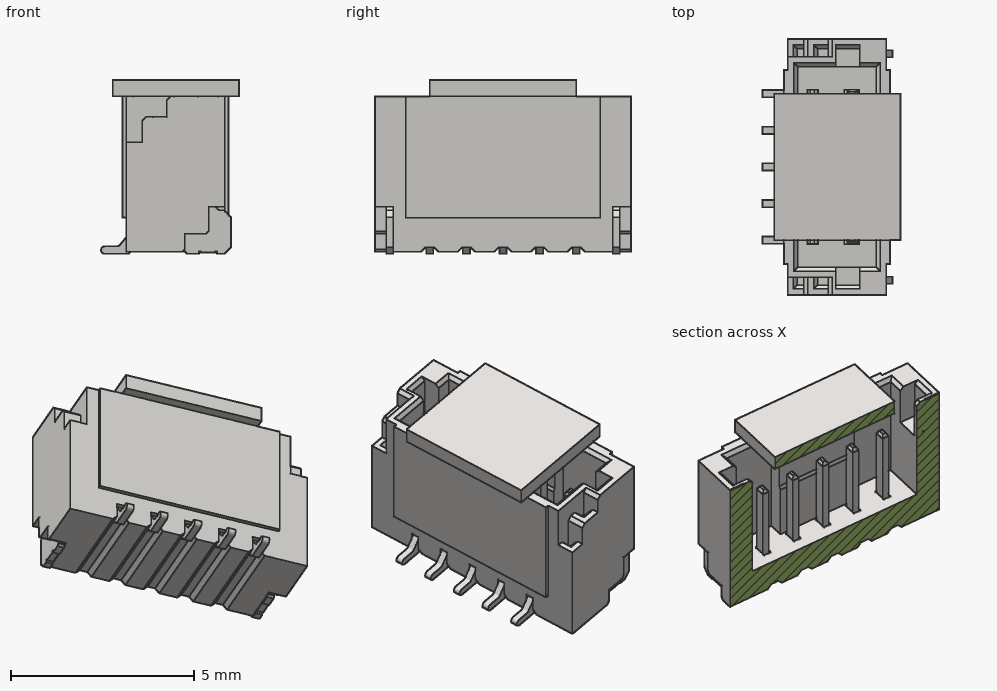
import cadquery as cq
import math


LENGTH = 7.0
WIDTH = 2.7
HEIGHT = 4.25
BEVEL = 0.105

PANEL_LENGTH = 5.305
PANEL_THICKNESS = 0.1
PANEL_BOTTOM = 0.94

CAVITY_LEFT = 0.27
CAVITY_RIGHT = 2.43
CAVITY_LENGTH = 5.49
CAVITY_FLOOR = PANEL_BOTTOM

KEY_DEPTH = 0.385
KEY_LENGTH = 2.505
KEY_LEDGE_TOP = 2.65
KEY_LEDGE_HEIGHT = 0.1
KEY_LEDGE_DEPTH = 0.05

NOTCH_LEFT = 1.315
NOTCH_RIGHT = 1.975
NOTCH_FLOOR = 2.995
POCKET_END = 3.23

STEP_WALL = 3.01
STEPS = [(0.44, 2.995), (1.11, 3.69)]
POCKET_LEFTS = [0.26, 0.82]
POCKET_DEPTH = 0.35

CAP_LEFT = -0.365
CAP_WIDTH = 3.45
CAP_LENGTH = 4.005
CAP_THICKNESS = 0.45

CONTACT_COUNT = 5
PITCH = 1.0
STANDOFF = 0.055
LEAD_WIDTH = 0.2
LEAD_THICKNESS = 0.21
LEAD_TIP = -0.685
LEAD_BEND = -0.2
LEAD_BEND_RADIUS = 0.12
LEAD_SLOPE = 50.0
LEAD_TOP = 0.51
LEAD_HEEL = 0.07
LEAD_SLOT_WIDTH = 0.225
LEAD_SLOT_TOP = 0.54
LEAD_SLOT_DEPTH = 0.3
SLOT_FLARE = 0.125
EMBED = 0.07

OPENING_WIDTH = 0.225
OPENING_DEPTH = 0.21
PIN_OPENING = (1.55, 1.95)
BARB_OPENING = (0.53, 0.83)
PIN_LEFT = 1.625
PIN_LENGTH = 0.295
PIN_WIDTH = 0.2
PIN_TOP = 3.185
PIN_TIP_LENGTH = 0.17
PIN_TIP_WIDTH = 0.09
PIN_TAPER = 0.105
BARB_LEFT = 0.545
BARB_RIGHT = 0.82
BARB_LEFT_SLOPE = 0.08
BARB_RIGHT_SLOPE = 0.09
BARB_RIGHT_DROP = 0.04

TAB_INNER = 2.995
TAB_OUTER = 3.19
TAB_LEFT = 1.61
TAB_STEM = 2.255
TAB_RIGHT = 2.87
CUT_TOP = 1.23
CUT_STEP = 0.49
CUT_BEVEL = 0.08
TAB_TOP = 1.135
TAB_HEEL_BEVEL = 0.055
TAB_SHOULDER = 0.19
TAB_CORNER = 0.18
TAB_HOOK_LEFT = 2.44
RELIEF_LEFT = 1.995
RELIEF_RIGHT = 2.48
RELIEF_DEPTH = 0.035
GROOVE_WIDTH = 0.04
GROOVE_DEPTH = 0.08


def block(x, y, z):
    """Box given by its (low, high) limits on each axis."""
    box = cq.Workplane("XY").box(x[1] - x[0], y[1] - y[0], z[1] - z[0], centered=False)
    return box.translate((x[0], y[0], z[0]))


def side_plate(points, y):
    """Plate with an XZ outline, between two Y values."""
    return cq.Workplane("XZ", origin=(0, y[1], 0)).polyline(points).close().extrude(y[1] - y[0])


def both_ends(shape):
    """The shape together with its mirror image at the other end."""
    return shape.union(shape.mirror("XZ"))


def centered(length):
    return (-length / 2, length / 2)


def flared_opening(x, y, floor, top, open_sides):
    """Pocket whose mouth widens by BEVEL on every side except the open sides."""
    opening = block(x, y, (floor, top))
    grow = {side: 0 if side in open_sides else BEVEL for side in ("-X", "+X", "-Y", "+Y")}
    low = cq.Workplane("XY", origin=(0, 0, top - BEVEL))
    mouth = (
        low.moveTo(x[0], y[0]).lineTo(x[1], y[0]).lineTo(x[1], y[1]).lineTo(x[0], y[1]).close()
        .workplane(offset=BEVEL)
        .moveTo(x[0] - grow["-X"], y[0] - grow["-Y"])
        .lineTo(x[1] + grow["+X"], y[0] - grow["-Y"])
        .lineTo(x[1] + grow["+X"], y[1] + grow["+Y"])
        .lineTo(x[0] - grow["-X"], y[1] + grow["+Y"])
        .close()
        .loft(ruled=True)
    )
    return opening.union(mouth)


def housing_blank():
    body = block((0, WIDTH), centered(LENGTH), (0, HEIGHT))
    panel_x = (-PANEL_THICKNESS, WIDTH + PANEL_THICKNESS)
    return body.union(block(panel_x, centered(PANEL_LENGTH), (PANEL_BOTTOM, HEIGHT)))


def cavity():
    return flared_opening((CAVITY_LEFT, CAVITY_RIGHT), centered(CAVITY_LENGTH), CAVITY_FLOOR, HEIGHT, ())


def key():
    face = CAVITY_RIGHT - KEY_DEPTH
    back = CAVITY_RIGHT + EMBED
    ledge_face = face - KEY_LEDGE_DEPTH
    outline = [
        (back, CAVITY_FLOOR - EMBED),
        (back, HEIGHT),
        (face, HEIGHT),
        (face, KEY_LEDGE_TOP),
        (ledge_face, KEY_LEDGE_TOP - KEY_LEDGE_HEIGHT),
        (ledge_face, CAVITY_FLOOR - EMBED),
    ]
    return side_plate(outline, centered(KEY_LENGTH))


def end_notches():
    y = (CAVITY_LENGTH / 2 - EMBED, POCKET_END)
    return both_ends(
        flared_opening((NOTCH_LEFT, NOTCH_RIGHT), y, NOTCH_FLOOR, HEIGHT, ("-X", "+X", "-Y"))
    )


def corner_steps():
    """Stepped cut at each end, with a pocket sunk into each tread."""
    (low_riser, low_tread), (high_riser, high_tread) = STEPS
    outline = [
        (0, low_tread),
        (low_riser, low_tread),
        (low_riser, high_tread - BEVEL),
        (low_riser + BEVEL, high_tread),
        (high_riser, high_tread),
        (high_riser, HEIGHT - BEVEL),
        (high_riser + BEVEL, HEIGHT),
        (0, HEIGHT),
    ]
    cut = side_plate(outline, (STEP_WALL, LENGTH / 2))
    for left, (riser, tread) in zip(POCKET_LEFTS, STEPS):
        y = (STEP_WALL, POCKET_END)
        cut = cut.union(flared_opening((left, riser), y, tread - POCKET_DEPTH, tread, ("+X", "-Y")))
    return both_ends(cut)


def tab_cuts():
    outline = [
        (TAB_LEFT - CUT_BEVEL, 0),
        (TAB_LEFT, CUT_BEVEL),
        (TAB_LEFT, CUT_STEP),
        (TAB_STEM - CUT_BEVEL, CUT_STEP),
        (TAB_STEM, CUT_STEP + CUT_BEVEL),
        (TAB_STEM, CUT_TOP),
        (WIDTH, CUT_TOP),
        (WIDTH, 0),
    ]
    return both_ends(side_plate(outline, (TAB_INNER, LENGTH / 2)))


def tabs():
    base = -STANDOFF
    relief = base + RELIEF_DEPTH
    groove = base + GROOVE_DEPTH
    hook_rise = CUT_TOP - TAB_TOP
    outline = [
        (TAB_LEFT, base + TAB_HEEL_BEVEL),
        (TAB_LEFT + TAB_HEEL_BEVEL, base),
        (RELIEF_LEFT, base),
        (RELIEF_LEFT, groove),
        (RELIEF_LEFT + GROOVE_WIDTH, groove),
        (RELIEF_LEFT + GROOVE_WIDTH, relief),
        (RELIEF_RIGHT - GROOVE_WIDTH, relief),
        (RELIEF_RIGHT - GROOVE_WIDTH, groove),
        (RELIEF_RIGHT, groove),
        (RELIEF_RIGHT, base),
        (TAB_RIGHT - TAB_CORNER, base),
        (TAB_RIGHT, base + TAB_CORNER),
        (TAB_RIGHT, TAB_TOP - TAB_SHOULDER),
        (TAB_RIGHT - TAB_SHOULDER, TAB_TOP),
        (TAB_HOOK_LEFT + hook_rise, TAB_TOP),
        (TAB_HOOK_LEFT, CUT_TOP),
        (TAB_STEM, CUT_TOP),
        (TAB_STEM, CUT_STEP + CUT_BEVEL),
        (TAB_STEM - CUT_BEVEL, CUT_STEP),
        (TAB_LEFT, CUT_STEP),
    ]
    return both_ends(side_plate(outline, (TAB_INNER, TAB_OUTER)))


def lead_slot():
    """Slot for one lead, opening into a flared groove across the whole underside."""
    half = LEAD_SLOT_WIDTH / 2
    slot = block((0, LEAD_SLOT_DEPTH), (-half, half), (0, LEAD_SLOT_TOP))
    groove = [
        (-half - SLOT_FLARE, 0),
        (-half, SLOT_FLARE),
        (half, SLOT_FLARE),
        (half + SLOT_FLARE, 0),
    ]
    return slot.union(cq.Workplane("YZ").polyline(groove).close().extrude(WIDTH))


def floor_openings():
    """Openings in the cavity floor around one pin and its barb."""
    z = (CAVITY_FLOOR - OPENING_DEPTH, CAVITY_FLOOR)
    y = centered(OPENING_WIDTH)
    return block(PIN_OPENING, y, z).union(block(BARB_OPENING, y, z))


def lead():
    """Gull-wing lead: round-ended foot, then a slope rising into the housing."""
    base = -STANDOFF
    foot_top = base + LEAD_THICKNESS
    radius = LEAD_THICKNESS / 2
    root = LEAD_SLOT_DEPTH + EMBED
    slope_run = (LEAD_TOP - foot_top) / math.tan(math.radians(LEAD_SLOPE))
    sharp_lead = (
        cq.Workplane("XZ", origin=(0, LEAD_WIDTH / 2, 0))
        .moveTo(LEAD_HEEL, base)
        .lineTo(LEAD_TIP + radius, base)
        .threePointArc((LEAD_TIP, base + radius), (LEAD_TIP + radius, foot_top))
        .lineTo(LEAD_BEND, foot_top)
        .lineTo(LEAD_BEND + slope_run, LEAD_TOP)
        .lineTo(root, LEAD_TOP)
        .lineTo(root, base + root - LEAD_HEEL)
        .close()
        .extrude(LEAD_WIDTH)
    )
    bend = cq.selectors.NearestToPointSelector((LEAD_BEND, 0, foot_top))
    return sharp_lead.edges(bend).fillet(LEAD_BEND_RADIUS)


def pin():
    """Upright pin with a tapered tip."""
    bottom = CAVITY_FLOOR - OPENING_DEPTH - EMBED
    shoulder = PIN_TOP - PIN_TAPER
    middle = PIN_LEFT + PIN_LENGTH / 2
    shaft = block((PIN_LEFT, PIN_LEFT + PIN_LENGTH), centered(PIN_WIDTH), (bottom, shoulder))
    tip = (
        cq.Workplane("XY", origin=(middle, 0, shoulder))
        .rect(PIN_LENGTH, PIN_WIDTH)
        .workplane(offset=PIN_TAPER)
        .rect(PIN_TIP_LENGTH, PIN_TIP_WIDTH)
        .loft(ruled=True)
    )
    return shaft.union(tip)


def barb():
    """Low barb of the contact, flush with the cavity floor."""
    bottom = CAVITY_FLOOR - OPENING_DEPTH - EMBED
    outline = [
        (BARB_LEFT, bottom),
        (BARB_LEFT, CAVITY_FLOOR - BARB_LEFT_SLOPE),
        (BARB_LEFT + BARB_LEFT_SLOPE, CAVITY_FLOOR),
        (BARB_RIGHT - BARB_RIGHT_SLOPE, CAVITY_FLOOR),
        (BARB_RIGHT, CAVITY_FLOOR - BARB_RIGHT_DROP),
        (BARB_RIGHT, bottom),
    ]
    return side_plate(outline, centered(PIN_WIDTH))


def cap():
    return block((CAP_LEFT, CAP_LEFT + CAP_WIDTH), centered(CAP_LENGTH), (HEIGHT, HEIGHT + CAP_THICKNESS))


housing = housing_blank().cut(cavity()).cut(end_notches()).cut(corner_steps()).cut(tab_cuts())
housing = housing.union(key())

contact_space = lead_slot().union(floor_openings())
contact = lead().union(pin()).union(barb())
for index in range(CONTACT_COUNT):
    place = (0, (index - (CONTACT_COUNT - 1) / 2) * PITCH, 0)
    housing = housing.cut(contact_space.translate(place)).union(contact.translate(place))

result = housing.union(tabs()).union(cap())